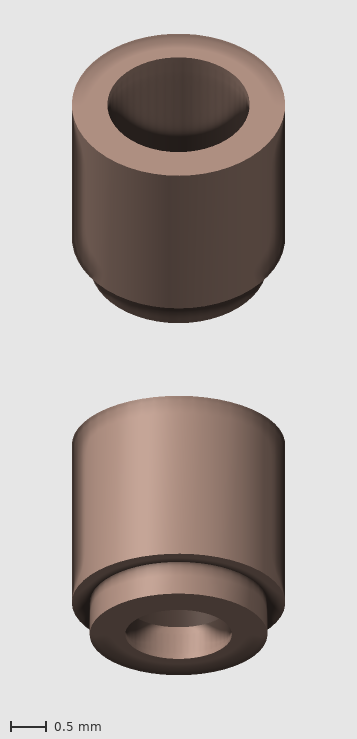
import cadquery as cq

outer_diameter = 3.0
total_height = 3.0
spigot_diameter = 2.5
spigot_height = 0.5
bore_diameter = 2.0
through_hole_diameter = 1.5

body_height = total_height - spigot_height


def cylinder(diameter, height, base_z):
    """Vertical cylinder on the Z axis, starting at base_z."""
    return cq.Workplane("XY").workplane(offset=base_z).circle(diameter / 2).extrude(height)


spigot = cylinder(spigot_diameter, spigot_height, 0)
body = cylinder(outer_diameter, body_height, spigot_height)

wide_bore = cylinder(bore_diameter, body_height, spigot_height)
through_hole = cylinder(through_hole_diameter, total_height, 0)

result = spigot.union(body).cut(wide_bore).cut(through_hole)